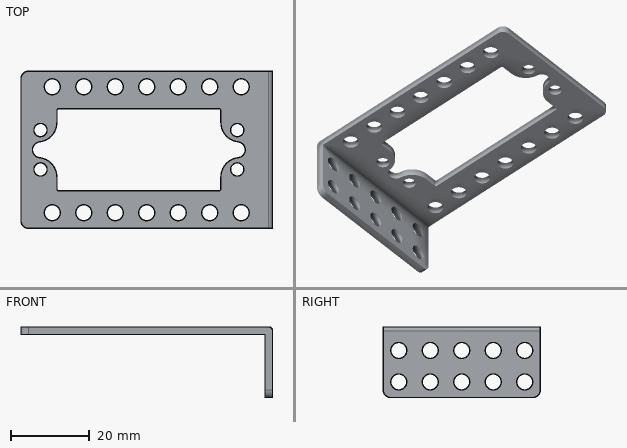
import cadquery as cq
import math

length = 64.0
width = 40.0
height = 18.0
thickness = 2.0
bend_radius = 1.0
corner_radius = 2.0

grid_pitch = 8.0
grid_hole_diameter = 4.0
plate_hole_count = 7
leg_hole_columns = 5
leg_hole_rows = 2
edge_to_first_row = 6.0
plate_row_offset = 2 * grid_pitch

window_center_x = 30.0
window_length = 41.6
window_width = 20.8
window_corner_radius = 0.4
screw_spacing_x = 50.0
screw_spacing_y = 10.0
screw_hole_diameter = 3.3
notch_radius = 2.0
shoulder_radius = 5.0

through_margin = 1.0
cut_depth = thickness + 2 * through_margin


def make_bracket_body():
    """L-shaped bracket with its top at Z = 0 and the free plate end at X = 0."""
    profile = (
        cq.Workplane("XZ")
        .polyline([
            (0, 0),
            (length, 0),
            (length, -height),
            (length - thickness, -height),
            (length - thickness, -thickness),
            (0, -thickness),
        ])
        .close()
    )
    body = profile.extrude(width / 2, both=True)
    body = body.edges("|Y and >X and >Z").fillet(bend_radius)
    body = body.edges("|Z and <X").fillet(corner_radius)
    return body.edges("|X and <Z").fillet(corner_radius)


def make_plate_cutter(points, diameter):
    """Vertical cylinders through the plate."""
    return (
        cq.Workplane("XY", origin=(0, 0, through_margin))
        .pushPoints(points)
        .circle(diameter / 2)
        .extrude(-cut_depth)
    )


def make_leg_hole_cutter():
    """Cylinders along X through the leg, in rows below the plate."""
    first_column = -grid_pitch * (leg_hole_columns - 1) / 2
    points = [
        (first_column + column * grid_pitch, -edge_to_first_row - row * grid_pitch)
        for column in range(leg_hole_columns)
        for row in range(leg_hole_rows)
    ]
    return (
        cq.Workplane("YZ", origin=(length + through_margin, 0, 0))
        .pushPoints(points)
        .circle(grid_hole_diameter / 2)
        .extrude(-cut_depth)
    )


def make_window_cutter():
    """Rectangular window with rounded corners, flowing through S-curves into rounded end notches."""
    half_length = window_length / 2
    half_width = window_width / 2
    notch_x = screw_spacing_x / 2
    shoulder_x = half_length + shoulder_radius
    center_distance = notch_radius + shoulder_radius
    shoulder_y = math.sqrt(center_distance**2 - (shoulder_x - notch_x) ** 2)
    notch_share = notch_radius / center_distance
    tangent_x = notch_x + (shoulder_x - notch_x) * notch_share
    tangent_y = shoulder_y * notch_share
    corner_x = half_length - window_corner_radius
    corner_y = half_width - window_corner_radius

    outline = cq.Workplane("XY", origin=(window_center_x, 0, through_margin)).moveTo(-corner_x, half_width)
    for side in (1, -1):
        outline = (
            outline
            .lineTo(side * corner_x, side * half_width)
            .tangentArcPoint((side * half_length, side * corner_y), relative=False)
            .lineTo(side * half_length, side * shoulder_y)
            .tangentArcPoint((side * tangent_x, side * tangent_y), relative=False)
            .threePointArc((side * (notch_x + notch_radius), 0), (side * tangent_x, -side * tangent_y))
            .tangentArcPoint((side * half_length, -side * shoulder_y), relative=False)
            .lineTo(side * half_length, -side * corner_y)
            .tangentArcPoint((side * corner_x, -side * half_width), relative=False)
        )
    return outline.close().extrude(-cut_depth)


grid_points = [
    (grid_pitch * (index + 1), side * plate_row_offset)
    for index in range(plate_hole_count)
    for side in (-1, 1)
]
screw_points = [
    (window_center_x + side_x * screw_spacing_x / 2, side_y * screw_spacing_y / 2)
    for side_x in (-1, 1)
    for side_y in (-1, 1)
]

result = (
    make_bracket_body()
    .cut(make_plate_cutter(grid_points, grid_hole_diameter))
    .cut(make_plate_cutter(screw_points, screw_hole_diameter))
    .cut(make_window_cutter())
    .cut(make_leg_hole_cutter())
)